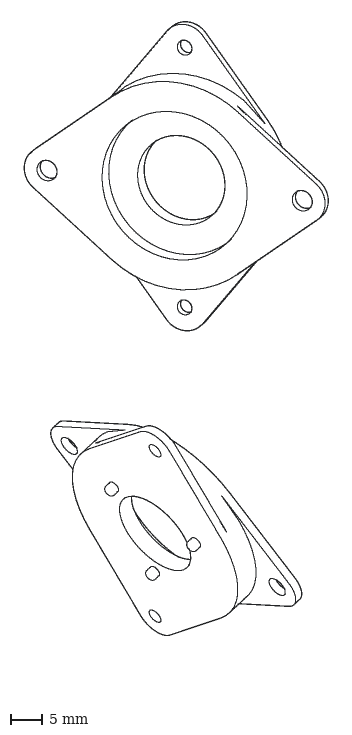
import cadquery as cq
import math

span = 51.85
ear_hole_spacing = 43.95
flange_thickness = 1.5
body_radius = 17.5
body_depth = 4 * flange_thickness

flat_start_angle = 37.8
flat_end_angle = 54.2

pocket_radius = 12.5
bore_radius = 7.5
pocket_depth = body_depth / 2

front_hole_radius = 1.7
back_hole_radius = 1.25

pin_count = 3
pin_circle_radius = 10.0
pin_radius = 1.0
pin_height = flange_thickness
pin_tip_fillet = 0.5
first_pin_angle = 30.0

ear_offset = ear_hole_spacing / 2
ear_radius = span / 2 - ear_offset


def cylinder(radius, start_y, length, x=0.0, z=0.0):
    """Cylinder along +Y starting at start_y."""
    return cq.Workplane(cq.Solid.makeCylinder(radius, length, cq.Vector(x, start_y, z), cq.Vector(0, 1, 0)))


def flange(start_y, hole_radius):
    """Two-eared plate along X, its straight sides tangent to the body and the ear ends."""
    tangent_angle = math.acos((body_radius - ear_radius) / ear_offset)
    normal_x = math.cos(tangent_angle)
    normal_z = math.sin(tangent_angle)
    body_x = body_radius * normal_x
    body_z = body_radius * normal_z
    ear_x = ear_offset + ear_radius * normal_x
    ear_z = ear_radius * normal_z
    plate = (
        cq.Workplane("XZ", origin=(0, start_y, 0))
        .moveTo(-body_x, body_z)
        .threePointArc((0, body_radius), (body_x, body_z))
        .lineTo(ear_x, ear_z)
        .threePointArc((span / 2, 0), (ear_x, -ear_z))
        .lineTo(body_x, -body_z)
        .threePointArc((0, -body_radius), (-body_x, -body_z))
        .lineTo(-ear_x, -ear_z)
        .threePointArc((-span / 2, 0), (-ear_x, ear_z))
        .close()
        .extrude(-flange_thickness)
    )
    for side in (-1, 1):
        plate = plate.cut(cylinder(hole_radius, start_y, flange_thickness, x=side * ear_offset))
    return plate


def flat_cutter(side_x, side_z):
    """Segment outside the chord of one flat, in the quadrant given by the signs of X and Z."""
    mid_angle = math.radians((flat_start_angle + flat_end_angle) / 2)
    half_angle = math.radians((flat_end_angle - flat_start_angle) / 2)
    corner_radius = body_radius / math.cos(half_angle)
    start = math.radians(flat_start_angle)
    end = math.radians(flat_end_angle)

    def point(radius, angle):
        return (side_x * radius * math.cos(angle), side_z * radius * math.sin(angle))

    return (
        cq.Workplane("XZ", origin=(0, flange_thickness, 0))
        .polyline([point(body_radius, start), point(corner_radius, mid_angle), point(body_radius, end)])
        .close()
        .extrude(-(body_depth - 2 * flange_thickness))
    )


def pin(angle):
    """Round pin with a rounded tip, set at an angle from +X toward +Z."""
    x = pin_circle_radius * math.cos(math.radians(angle))
    z = pin_circle_radius * math.sin(math.radians(angle))
    return cylinder(pin_radius, body_depth, pin_height, x, z).faces(">Y").edges().fillet(pin_tip_fillet)


front_flange = flange(0, front_hole_radius)
back_flange = flange(body_depth - flange_thickness, back_hole_radius).rotate((0, 0, 0), (0, 1, 0), 90)
result = cylinder(body_radius, 0, body_depth)
for side_x in (-1, 1):
    for side_z in (-1, 1):
        result = result.cut(flat_cutter(side_x, side_z))
result = result.union(front_flange).union(back_flange)

result = result.cut(cylinder(pocket_radius, 0, pocket_depth))
result = result.cut(cylinder(bore_radius, 0, body_depth))

for index in range(pin_count):
    result = result.union(pin(first_pin_angle + index * 360 / pin_count))